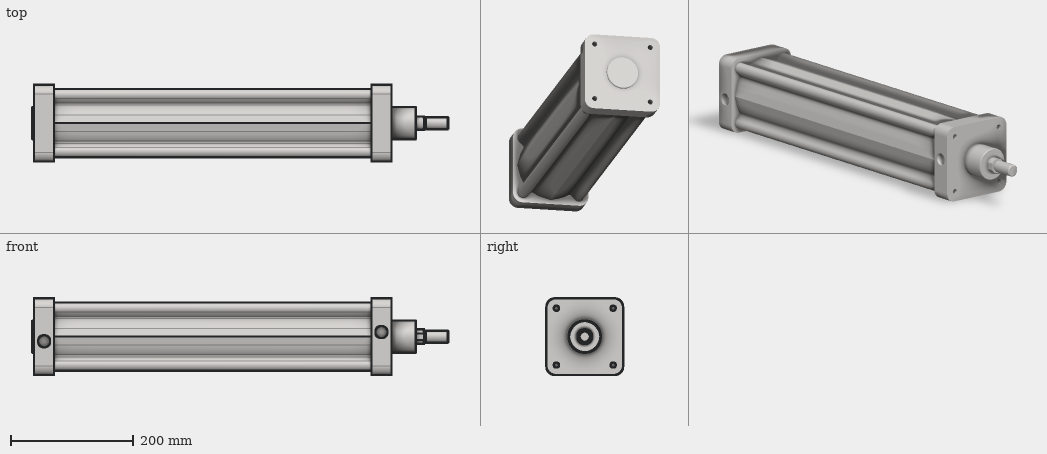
import cadquery as cq
import math


cap_size = 126.0
cap_thickness = 33.0
cap_corner_radius = 15.0
spigot_diameter = 53.0
spigot_chamfer = 1.0
rear_spigot_length = 3.0
front_spigot_length = 40.0

port_diameter = 20.0
port_depth = 20.0
port_offset = 7.5

screw_offset = 46.5
screw_hole_diameter = 8.5
screw_hole_depth = 20.0

barrel_length = 519.0
barrel_radius = 54.5
ridge_half_width = 13.5
lobe_radius = 9.2
lobe_root_fillet = 3.2

rod_diameter = 24.5
rod_exposed_length = 13.0
wrench_flat_width = 22.0
neck_diameter = 17.0
neck_length = 3.5
thread_diameter = 20.0
total_length = 681.0
thread_chamfer = 1.5

rear_cap_start = rear_spigot_length
barrel_start = rear_cap_start + cap_thickness
front_cap_start = barrel_start + barrel_length
front_cap_end = front_cap_start + cap_thickness
front_spigot_end = front_cap_end + front_spigot_length
neck_start = front_spigot_end + rod_exposed_length
thread_start = neck_start + neck_length


def cross_section(x):
    """Sketch plane across the axis at x, with local axes along Y and Z, extruding towards +X."""
    return cq.Workplane("YZ", origin=(x, 0, 0))


def axial_cylinder(start, end, diameter):
    return cross_section(start).circle(diameter / 2).extrude(end - start)


def cap_plate(start):
    plate = cross_section(start).rect(cap_size, cap_size).extrude(cap_thickness)
    return plate.edges("|X").fillet(cap_corner_radius)


def port_cutter(plate_start, z):
    """Blind round hole entering the middle of a cap's -Y face at height z."""
    face_centre = (plate_start + cap_thickness / 2, -cap_size / 2, z)
    return cq.Workplane("XZ", origin=face_centre).circle(port_diameter / 2).extrude(-port_depth)


def screw_hole_cutters(start):
    pattern = cross_section(start).rect(2 * screw_offset, 2 * screw_offset, forConstruction=True)
    return pattern.vertices().circle(screw_hole_diameter / 2).extrude(screw_hole_depth)


def make_rear_cap():
    spigot = axial_cylinder(0, rear_cap_start, spigot_diameter)
    spigot = spigot.faces("<X").chamfer(spigot_chamfer)
    cap = cap_plate(rear_cap_start).union(spigot)
    cap = cap.cut(port_cutter(rear_cap_start, -port_offset))
    return cap.cut(screw_hole_cutters(rear_cap_start))


def make_front_cap():
    spigot = axial_cylinder(front_cap_end, front_spigot_end, spigot_diameter)
    spigot = spigot.faces(">X").chamfer(spigot_chamfer)
    cap = cap_plate(front_cap_start).union(spigot)
    cap = cap.cut(port_cutter(front_cap_start, port_offset))
    cap = cap.cut(screw_hole_cutters(front_cap_end - screw_hole_depth))
    return cap.cut(axial_cylinder(front_cap_start, front_spigot_end, rod_diameter))


def barrel_ridge(angle):
    """Shallow roof whose two flats run tangent to the barrel's round surface."""
    tangent_height = math.sqrt(barrel_radius**2 - ridge_half_width**2)
    peak_height = barrel_radius**2 / tangent_height
    outline = [
        (0, 0),
        (ridge_half_width, tangent_height),
        (0, peak_height),
        (-ridge_half_width, tangent_height),
    ]
    ridge = cross_section(barrel_start).polyline(outline).close().extrude(barrel_length)
    return ridge.rotate((0, 0, 0), (1, 0, 0), angle)


def diagonal_lobes(angle):
    """Round-ended bar through the axis that forms two opposite lobes."""
    lobe_distance = screw_offset * math.sqrt(2)
    bar = cross_section(barrel_start).slot2D(2 * (lobe_distance + lobe_radius), 2 * lobe_radius)
    return bar.extrude(barrel_length).rotate((0, 0, 0), (1, 0, 0), angle)


def make_barrel():
    barrel = axial_cylinder(barrel_start, front_cap_start, 2 * barrel_radius)
    for angle in (45, 135):
        barrel = barrel.union(diagonal_lobes(angle))

    root_distance = math.sqrt(barrel_radius**2 - lobe_radius**2)
    root_far = (root_distance + lobe_radius) / math.sqrt(2)
    root_near = (root_distance - lobe_radius) / math.sqrt(2)
    barrel_middle = (barrel_start + front_cap_start) / 2
    for y_sign in (-1, 1):
        for z_sign in (-1, 1):
            for y, z in ((root_far, root_near), (root_near, root_far)):
                root = (barrel_middle, y_sign * y, z_sign * z)
                barrel = barrel.edges(cq.NearestToPointSelector(root)).fillet(lobe_root_fillet)

    for angle in (0, 90, 180, 270):
        barrel = barrel.union(barrel_ridge(angle))
    return barrel


def make_rod():
    rod = axial_cylinder(front_cap_start, neck_start, rod_diameter)
    exposed_middle = (front_spigot_end + neck_start) / 2
    flats = cq.Workplane().box(rod_exposed_length, wrench_flat_width, rod_diameter)
    exposed_part = axial_cylinder(front_spigot_end, neck_start, rod_diameter)
    rod = rod.cut(exposed_part.cut(flats.translate((exposed_middle, 0, 0))))
    neck = axial_cylinder(neck_start, thread_start, neck_diameter)
    thread = axial_cylinder(thread_start, total_length, thread_diameter)
    thread = thread.faces(">X").chamfer(thread_chamfer)
    return rod.union(neck).union(thread)


rear_cap = make_rear_cap()
barrel = make_barrel()
front_cap = make_front_cap()
rod = make_rod()

result = cq.Compound.makeCompound([rear_cap.val(), barrel.val(), front_cap.val(), rod.val()])